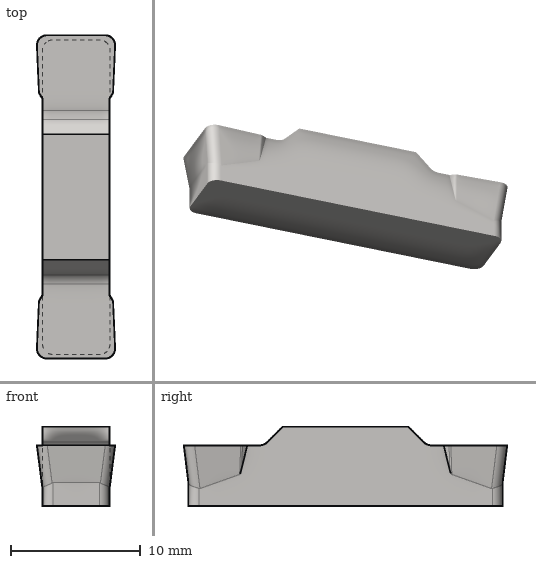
import cadquery as cq
import math


overall_length = 24.96
head_width = 6.05
overall_height = 6.14

shank_width = 5.2
land_height = 4.69
ridge_top_length = 9.67
ridge_slope = math.radians(45)
ridge_root_radius = 1.0
corner_radius = 0.8

relief_angle = 7.0
end_relief_depth = 2.85
back_taper = math.radians(2.5)
neck_corner_distance = 4.45
neck_end_distance = 4.9
neck_corner_radius = 0.3
root_share = 0.5
head_depth = 4.0

half_length = overall_length / 2
shank_length = overall_length - 2 * end_relief_depth * math.tan(math.radians(relief_angle))


def make_shank():
    """Round-cornered bar with a raised ridge across its middle."""
    half_shank = shank_length / 2
    half_ridge_top = ridge_top_length / 2
    half_ridge_foot = half_ridge_top + (overall_height - land_height) / math.tan(ridge_slope)
    profile = [
        (-half_shank, 0),
        (half_shank, 0),
        (half_shank, land_height),
        (half_ridge_foot, land_height),
        (half_ridge_top, overall_height),
        (-half_ridge_top, overall_height),
        (-half_ridge_foot, land_height),
        (-half_shank, land_height),
    ]
    shank = cq.Workplane("YZ").polyline(profile).close().extrude(shank_width / 2, both=True)

    end_corners = shank.faces("<Y or >Y").edges("|Z")
    shank = end_corners.fillet(corner_radius)

    ridge_reach = half_ridge_foot + ridge_root_radius / 2
    root_zone = cq.selectors.BoxSelector(
        (-shank_width, -ridge_reach, land_height - ridge_root_radius / 2),
        (shank_width, ridge_reach, land_height + ridge_root_radius / 2),
    )
    ridge_roots = shank.edges("|X").edges(root_zone)
    return ridge_roots.fillet(ridge_root_radius)


def make_head():
    """Head at the +Y end: sides relieved downwards, narrowing towards the neck."""
    half_shank_width = shank_width / 2

    tangent_shift = corner_radius * (1 / math.cos(back_taper) - 1)
    half_edge = head_width / 2 + tangent_shift + corner_radius * math.tan(back_taper)
    half_neck = half_edge - neck_corner_distance * math.tan(back_taper)

    half_root = half_shank_width * root_share
    neck_slope = (neck_end_distance - neck_corner_distance) / (half_neck - half_shank_width)
    edge_y = half_length
    neck_y = edge_y - neck_corner_distance
    root_y = neck_y - (half_neck - half_root) * neck_slope

    outline = [
        (half_root, root_y),
        (half_neck, neck_y),
        (half_edge, edge_y),
        (-half_edge, edge_y),
        (-half_neck, neck_y),
        (-half_root, root_y),
    ]
    head = (
        cq.Workplane("XY", origin=(0, 0, land_height))
        .polyline(outline)
        .close()
        .extrude(-head_depth, taper=relief_angle)
    )
    end_corners = head.faces(">Y").edges("not #Z")
    head = end_corners.fillet(corner_radius)

    neck_zone = cq.selectors.BoxSelector(
        (-head_width, neck_y - neck_corner_radius, 0),
        (head_width, neck_y + neck_corner_radius, land_height),
    )
    neck_corners = head.edges("not #Z").edges(neck_zone)
    return neck_corners.fillet(neck_corner_radius)


head = make_head()
result = make_shank().union(head).union(head.mirror("XZ"))